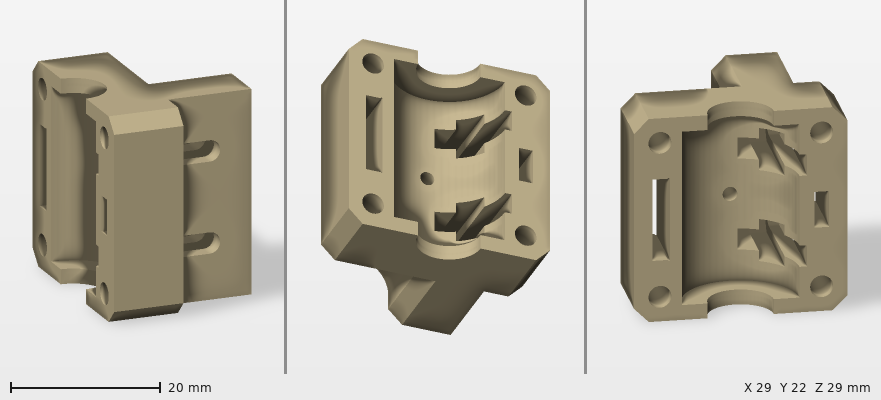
import cadquery as cq
import math

side = 29.0
half_side = side / 2
flange_depth = 10.0
overall_depth = 22.0
corner_chamfer = 2.0

block_right = 9.0
block_round_radius = 6.45
block_fillet_radius = 5.0

seat_radius = 8.0
seat_length = 24.77
shaft_radius = 4.5

bolt_diameter = 3.1
bolt_offset = 11.0
center_hole_diameter = 2.0

left_window_min_x = -12.0
left_window_max_x = -9.63
left_window_height = 11.6
left_window_lip_width = 0.25
left_window_lip_height = 11.83
right_window_min_x = 10.0
right_window_max_x = 12.0
right_window_height = 5.1

screw_diameter = 3.02
screw_length = 7.98
screw_height = 6.5
screw_axis_depth = 16.0
nut_across_flats = 6.0
nut_min_x = 3.77
nut_thickness = 3.0


def box_between(min_x, max_x, depth, height):
    """Box centred on z = 0 that runs from the front face to the given depth."""
    box = cq.Workplane("XY").box(max_x - min_x, depth, height, centered=(False, False, True))
    return box.translate((min_x, 0, 0))


def cylinder_y(x, z, diameter):
    """Cylinder along Y through the whole part."""
    return cq.Workplane("XZ").center(x, z).circle(diameter / 2).extrude(-overall_depth)


def cylinder_z(radius, length):
    """Cylinder on the Z axis, centred on z = 0."""
    return cq.Workplane("XY", origin=(0, 0, -length / 2)).circle(radius).extrude(length)


def make_flange():
    plate = cq.Workplane("XZ").rect(side, side).extrude(-flange_depth)
    return plate.edges("|Y").chamfer(corner_chamfer)


def make_block():
    """Straight right side; rounded nose on the left, blended into the straight arms by fillets."""
    center_distance = block_round_radius + block_fillet_radius
    fillet_end_z = math.sqrt(center_distance**2 - block_fillet_radius**2)
    nose_share = block_round_radius / center_distance
    tangent_x = -block_fillet_radius * nose_share
    tangent_z = fillet_end_z * nose_share
    half_sweep = math.atan2(fillet_end_z, block_fillet_radius) / 2
    fillet_mid_x = -block_fillet_radius + block_fillet_radius * math.cos(half_sweep)
    fillet_mid_z = fillet_end_z - block_fillet_radius * math.sin(half_sweep)
    chamfer_z = half_side - corner_chamfer
    return (
        cq.Workplane("XZ")
        .moveTo(block_right, -half_side)
        .lineTo(block_right, half_side)
        .lineTo(corner_chamfer, half_side)
        .lineTo(0, chamfer_z)
        .lineTo(0, fillet_end_z)
        .threePointArc((fillet_mid_x, fillet_mid_z), (tangent_x, tangent_z))
        .threePointArc((-block_round_radius, 0), (tangent_x, -tangent_z))
        .threePointArc((fillet_mid_x, -fillet_mid_z), (0, -fillet_end_z))
        .lineTo(0, -chamfer_z)
        .lineTo(corner_chamfer, -half_side)
        .close()
        .extrude(-overall_depth)
    )


def make_seat():
    seat = cylinder_z(seat_radius, seat_length)
    shaft = cylinder_z(shaft_radius, side)
    return seat.union(shaft)


def make_windows():
    left = box_between(left_window_min_x, left_window_max_x, flange_depth, left_window_height)
    lip = box_between(
        left_window_max_x - left_window_lip_width, left_window_max_x, flange_depth, left_window_lip_height
    )
    right = box_between(right_window_min_x, right_window_max_x, flange_depth, right_window_height)
    return left.union(lip).union(right)


def make_screw_pocket(z):
    """Round-ended screw slot crossed by a nut slot that ends in half a hexagon."""
    screw_min_x = block_right - screw_length
    screw_slot = box_between(screw_min_x, block_right, screw_axis_depth, screw_diameter)
    screw = (
        cq.Workplane("YZ", origin=(screw_min_x, screw_axis_depth, 0))
        .circle(screw_diameter / 2)
        .extrude(screw_length)
    )
    nut_across_corners = nut_across_flats / math.cos(math.pi / 6)
    nut_slot = box_between(nut_min_x, nut_min_x + nut_thickness, screw_axis_depth, nut_across_flats)
    nut = (
        cq.Workplane("YZ", origin=(nut_min_x, screw_axis_depth, 0))
        .polygon(6, nut_across_corners)
        .extrude(nut_thickness)
    )
    return screw_slot.union(screw).union(nut_slot).union(nut).translate((0, 0, z))


result = make_flange().union(make_block()).cut(make_seat()).cut(make_windows())

for x in (-bolt_offset, bolt_offset):
    for z in (-bolt_offset, bolt_offset):
        result = result.cut(cylinder_y(x, z, bolt_diameter))
result = result.cut(cylinder_y(0, 0, center_hole_diameter))

for z in (-screw_height, screw_height):
    result = result.cut(make_screw_pocket(z))